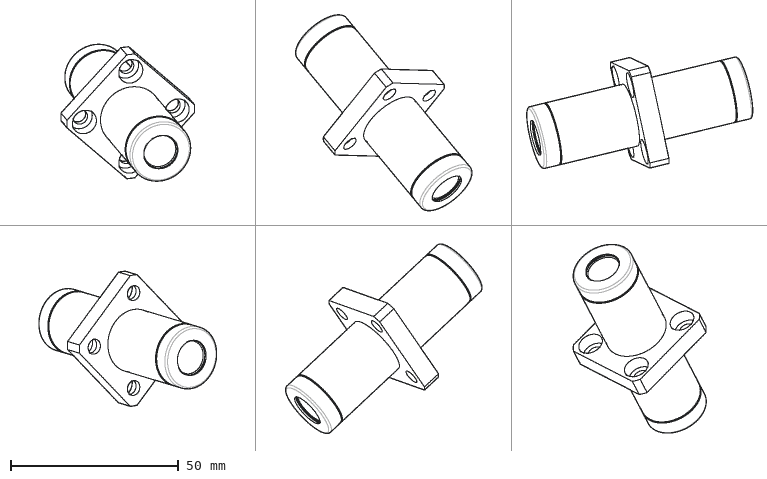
import cadquery as cq

sleeve_length = 65.0
sleeve_diameter = 19.0
bore_diameter = 10.0
end_fillet = 0.6

lip_diameter = 10.6
lip_width = 0.7
pocket_diameter = 11.2
pocket_width = 0.4

groove_offset = 5.0
groove_width = 0.3
groove_depth = 0.2

flange_side = 30.0
flange_turn = 45.0
flange_diameter = 40.0
flange_thickness = 6.0

bolt_circle_diameter = 29.0
hole_count = 4
hole_diameter = 4.5
counterbore_diameter = 7.5
counterbore_depth = 4.1


def x_cylinder(diameter, x_start, length):
    """Cylinder about the X axis, from x_start towards +X."""
    return cq.Workplane("YZ", origin=(x_start, 0, 0)).circle(diameter / 2).extrude(length)


def make_sleeve():
    """Solid round body with both ends rounded over."""
    sleeve = x_cylinder(sleeve_diameter, -sleeve_length / 2, sleeve_length)
    return sleeve.faces("<X or >X").edges().fillet(end_fillet)


def make_flange():
    """Plate in the YZ plane: the square trimmed by the corner circle."""
    square = (
        cq.Workplane("YZ", origin=(-flange_thickness / 2, 0, 0))
        .transformed(rotate=(0, 0, flange_turn))
        .rect(flange_side, flange_side)
        .extrude(flange_thickness)
    )
    disc = x_cylinder(flange_diameter, -flange_thickness / 2, flange_thickness)
    return square.intersect(disc)


def cut_mounting_holes(body):
    """Through holes on the Y and Z axes, counterbored from the +X face."""
    return (
        body.copyWorkplane(cq.Workplane("YZ", origin=(flange_thickness / 2, 0, 0)))
        .polarArray(bolt_circle_diameter / 2, 0, 360, hole_count)
        .cboreHole(hole_diameter, counterbore_diameter, counterbore_depth, flange_thickness)
    )


def cut_bore(body):
    """Through bore, with a lip and a wider pocket behind it at both mouths."""
    end_x = sleeve_length / 2
    pocket_x = end_x - lip_width
    body = body.cut(x_cylinder(bore_diameter, -end_x, sleeve_length))
    body = body.cut(x_cylinder(lip_diameter, -end_x, lip_width))
    body = body.cut(x_cylinder(lip_diameter, pocket_x, lip_width))
    body = body.cut(x_cylinder(pocket_diameter, -pocket_x, pocket_width))
    body = body.cut(x_cylinder(pocket_diameter, pocket_x - pocket_width, pocket_width))
    return body


def cut_grooves(body):
    """One narrow ring groove near each end of the sleeve."""
    near_start = -sleeve_length / 2 + groove_offset
    far_start = sleeve_length / 2 - groove_offset - groove_width
    floor_diameter = sleeve_diameter - 2 * groove_depth
    clearing_diameter = sleeve_diameter + 2 * groove_depth
    for x_start in (near_start, far_start):
        ring = x_cylinder(clearing_diameter, x_start, groove_width)
        ring = ring.cut(x_cylinder(floor_diameter, x_start, groove_width))
        body = body.cut(ring)
    return body


flange = cut_mounting_holes(make_flange())
result = cut_grooves(cut_bore(make_sleeve().union(flange)))